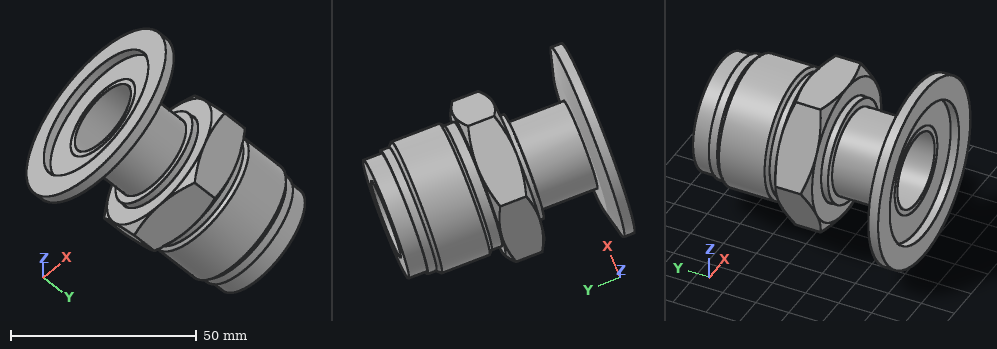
import cadquery as cq
import math

BORE_DIAMETER = 22.1
TOTAL_LENGTH = 61.4

FLANGE_DIAMETER = 55.0
FLANGE_RIM_WIDTH = 3.0
FLANGE_THICKNESS = 5.05
CLAMP_ANGLE = 15.0
RECESS_DIAMETER = 41.2
RECESS_DEPTH = 2.5

TUBE_DIAMETER = 25.4
HUB_DIAMETER = 30.2
HUB_START = 21.5
HEAD_DIAMETER = 34.3
HEAD_LENGTH = 5.2

NUT_BORE_DIAMETER = 30.45
HEX_START = 23.5
HEX_LENGTH = 11.25
HEX_ACROSS_FLATS = 41.2
HEX_CHAMFER_ANGLE = 30.0
THREAD_DIAMETER = 38.1
REAR_RELIEF_DIAMETER = 36.05
FRONT_RELIEF_DIAMETER = 35.8
REAR_RELIEF_LENGTH = 2.95
FRONT_RELIEF_LENGTH = 2.5

HEX_END = HEX_START + HEX_LENGTH
NUT_END = TOTAL_LENGTH - HEAD_LENGTH
THREAD_START = HEX_END + REAR_RELIEF_LENGTH
THREAD_END = NUT_END - FRONT_RELIEF_LENGTH


def turned(profile):
    """Revolve a closed (radius, Y) profile about the Y axis."""
    return cq.Workplane("XY").polyline(profile).close().revolve(360, (0, 0, 0), (0, 1, 0))


def cylinder(diameter, start, end):
    """Solid cylinder along Y between two Y positions."""
    radius = diameter / 2
    return turned([(0, start), (radius, start), (radius, end), (0, end)])


def make_flange():
    """Clamp flange with a face recess and a through hole for the tube."""
    rim_radius = FLANGE_DIAMETER / 2
    cone_depth = FLANGE_THICKNESS - FLANGE_RIM_WIDTH
    back_radius = rim_radius - cone_depth / math.tan(math.radians(CLAMP_ANGLE))
    blank = turned([
        (0, 0),
        (rim_radius, 0),
        (rim_radius, FLANGE_RIM_WIDTH),
        (back_radius, FLANGE_THICKNESS),
        (0, FLANGE_THICKNESS),
    ])
    recess = cylinder(RECESS_DIAMETER, 0, RECESS_DEPTH)
    tube_hole = cylinder(TUBE_DIAMETER, 0, FLANGE_THICKNESS)
    return blank.cut(recess).cut(tube_hole)


def make_gland():
    """Bored gland whose tube end is flush with the floor of the flange recess."""
    tube = cylinder(TUBE_DIAMETER, RECESS_DEPTH, HUB_START)
    hub = cylinder(HUB_DIAMETER, HUB_START, NUT_END)
    head = cylinder(HEAD_DIAMETER, NUT_END, TOTAL_LENGTH)
    bore = cylinder(BORE_DIAMETER, 0, TOTAL_LENGTH)
    return tube.union(hub).union(head).cut(bore)


def make_hexagon():
    """Hexagon with flats facing +Z and -Z and both ends chamfered by a cone."""
    across_corners = HEX_ACROSS_FLATS / math.cos(math.radians(30))
    prism = (
        cq.Workplane("XZ", origin=(0, HEX_START, 0))
        .polygon(6, across_corners)
        .extrude(-HEX_LENGTH)
    )
    face_radius = HEX_ACROSS_FLATS / 2
    corner_radius = across_corners / 2
    chamfer = (corner_radius - face_radius) * math.tan(math.radians(HEX_CHAMFER_ANGLE))
    envelope = turned([
        (0, HEX_START),
        (face_radius, HEX_START),
        (corner_radius, HEX_START + chamfer),
        (corner_radius, HEX_END - chamfer),
        (face_radius, HEX_END),
        (0, HEX_END),
    ])
    return prism.intersect(envelope)


def make_barrel():
    """Barrel of the nut, with 45 degree chamfers down to the reliefs."""
    thread_radius = THREAD_DIAMETER / 2
    rear_radius = REAR_RELIEF_DIAMETER / 2
    front_radius = FRONT_RELIEF_DIAMETER / 2
    return turned([
        (0, HEX_END),
        (rear_radius, HEX_END),
        (rear_radius, THREAD_START),
        (thread_radius, THREAD_START + thread_radius - rear_radius),
        (thread_radius, THREAD_END - (thread_radius - front_radius)),
        (front_radius, THREAD_END),
        (front_radius, NUT_END),
        (0, NUT_END),
    ])


def make_nut():
    """Hexagon and barrel, bored with clearance around the gland hub."""
    bore = cylinder(NUT_BORE_DIAMETER, HEX_START, NUT_END)
    return make_hexagon().union(make_barrel()).cut(bore)


flange = make_flange()
gland = make_gland()
nut = make_nut()

result = cq.Compound.makeCompound([body.solids().val() for body in (flange, gland, nut)])